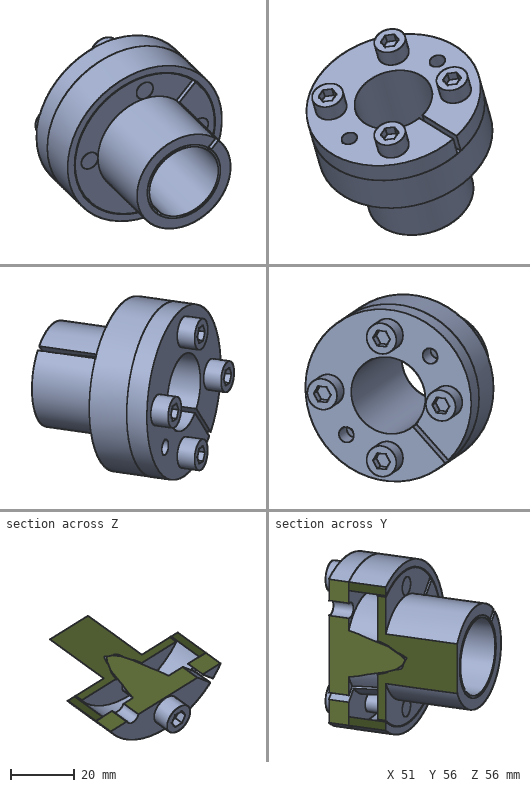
import cadquery as cq
import math


flange_thickness = 7.0
spacer_back = 20.0
bush_end = 45.0
overshoot = 1.0

flange_diameter = 56.0
shaft_diameter = 25.0
sleeve_diameter = 34.0
sleeve_flange_diameter = 50.5
spacer_bore = 51.0

taper_front_radius = 16.75
taper_end_radius = 13.25
taper_slope = (taper_front_radius - taper_end_radius) / (bush_end - flange_thickness)

pull_up_gap = 10.0
sleeve_front = flange_thickness + pull_up_gap
sleeve_front_radius = taper_front_radius - taper_slope * pull_up_gap

slit_width = 1.5
sleeve_slit_angle = 45.0
inner_slit_angle = sleeve_slit_angle + 180.0

pitch_radius = 20.0
screw_count = 4
screw_angles = [i * 360.0 / screw_count for i in range(screw_count)]
jack_hole_angles = [135.0, 315.0]
jack_hole_diameter = 5.0
screw_diameter = 6.0
head_diameter = 10.0
head_height = 6.0
socket_across_flats = 5.0
socket_across_corners = socket_across_flats / math.cos(math.radians(30))
socket_depth = 3.0
screw_length = spacer_back


def cross_plane(x):
    """Workplane across the axis at X = x, with local x along -Y and local y along -Z."""
    return cq.Workplane(cq.Plane(origin=(x, 0, 0), xDir=(0, -1, 0), normal=(1, 0, 0)))


def on_pitch_circle(angle):
    """Point on the screw pitch circle, at an angle from -Y towards -Z."""
    a = math.radians(angle)
    return (pitch_radius * math.cos(a), pitch_radius * math.sin(a))


def axial_cutters(angles, diameter):
    """Round cutters through the whole bush on the pitch circle."""
    centres = [on_pitch_circle(angle) for angle in angles]
    plane = cross_plane(-overshoot).pushPoints(centres)
    return plane.circle(diameter / 2).extrude(bush_end + 2 * overshoot)


def split_ring(profile, slit_angle):
    """Revolve an (X, radius) profile about X and slit it on one side at slit_angle from +Y towards +Z."""
    ring = cq.Workplane("XY").polyline(profile).close().revolve(360, (0, 0, 0), (1, 0, 0))
    slit = cq.Workplane("XY").box(
        bush_end + 2 * overshoot, flange_diameter, slit_width, centered=(False, False, True)
    )
    ring = ring.cut(slit.translate((-overshoot, 0, 0)))
    return ring.rotate((0, 0, 0), (1, 0, 0), slit_angle)


def make_inner_ring():
    """Front flange and tapered ring with the shaft bore."""
    bore_radius = shaft_diameter / 2
    profile = [
        (0, bore_radius),
        (0, flange_diameter / 2),
        (flange_thickness, flange_diameter / 2),
        (flange_thickness, taper_front_radius),
        (bush_end, taper_end_radius),
        (bush_end, bore_radius),
    ]
    ring = split_ring(profile, inner_slit_angle)
    ring = ring.cut(axial_cutters(screw_angles, screw_diameter))
    return ring.cut(axial_cutters(jack_hole_angles, jack_hole_diameter))


def make_outer_sleeve():
    """Sleeve with a tapered bore and a flange that takes the screws."""
    profile = [
        (sleeve_front, sleeve_front_radius),
        (sleeve_front, sleeve_flange_diameter / 2),
        (spacer_back, sleeve_flange_diameter / 2),
        (spacer_back, sleeve_diameter / 2),
        (bush_end, sleeve_diameter / 2),
        (bush_end, taper_end_radius),
    ]
    sleeve = split_ring(profile, sleeve_slit_angle)
    return sleeve.cut(axial_cutters(screw_angles, screw_diameter))


def make_spacer_ring():
    """Plain ring behind the front flange, clear around the sleeve flange."""
    plane = cross_plane(flange_thickness).circle(flange_diameter / 2).circle(spacer_bore / 2)
    return plane.extrude(spacer_back - flange_thickness)


def make_screw(angle):
    """Socket head screw whose head rests on the front flange."""
    centre = on_pitch_circle(angle)
    head = cross_plane(-head_height).center(*centre).circle(head_diameter / 2).extrude(head_height)
    socket = cross_plane(-head_height).center(*centre).polygon(6, socket_across_corners).extrude(socket_depth)
    shank = cross_plane(0).center(*centre).circle(screw_diameter / 2).extrude(screw_length)
    return head.union(shank).cut(socket)


inner_ring = make_inner_ring()
outer_sleeve = make_outer_sleeve()
spacer_ring = make_spacer_ring()
screws = [make_screw(angle) for angle in screw_angles]

bodies = [inner_ring, outer_sleeve, spacer_ring] + screws
result = cq.Compound.makeCompound([body.solids().val() for body in bodies])